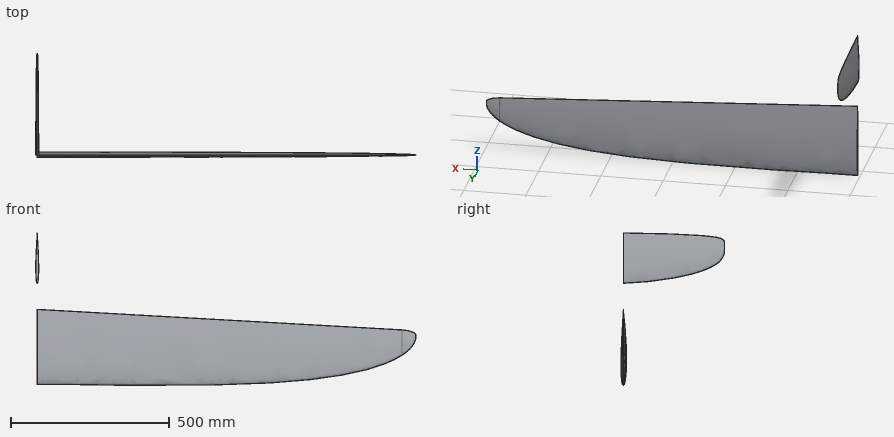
import cadquery as cq
import math

WING_SPAN = 1192.0
WING_SEAM = 1148.0
WING_TIP_Z = -82.0
WING_NOSE_DEPTH = 154.0
WING_NOSE_GROWTH = 12.0
WING_NOSE_POWER = 4.0
TRAILING_DROP = 65.0
WING_THICKNESS = 0.078
WING_CAMBER = 0.006

FIN_SPAN = 319.0
FIN_TIP_Z = 194.0
FIN_TRAILING_RISE = 47.0
FIN_NOSE_DEPTH = 112.0
FIN_NOSE_POWER = 1.5
FIN_NOSE_BLUNTNESS = 0.37
FIN_TRAILING_POWER = 1.4
FIN_TRAILING_BLUNTNESS = 0.16
FIN_THICKNESS = 0.063

TIP_END = 0.999
CROWDING = 1.3
PROFILE_STEPS = 12
MAIN_SECTIONS = 10
TIP_SECTIONS = 6
FIN_SECTIONS = 12


def half_thickness(along):
    """Four-digit aerofoil half thickness for unit thickness; along runs 0 (nose) to 1 (tail)."""
    return 5 * (0.2969 * math.sqrt(along) - 0.126 * along - 0.3516 * along**2
                + 0.2843 * along**3 - 0.1036 * along**4)


def aerofoil_side(nose, tail, thickness, camber, side):
    """Points (offset, height) from nose to tail on one side of the profile."""
    chord = tail - nose
    points = []
    for step in range(PROFILE_STEPS + 1):
        along = (1 - math.cos(math.pi * step / PROFILE_STEPS)) / 2
        mean_line = 4 * camber * along * (1 - along)
        offset = chord * (mean_line + side * thickness * half_thickness(along))
        points.append((offset, nose + chord * along))
    return points


def aerofoil_wire(place, nose, tail, thickness, camber):
    """Closed profile; place turns (offset, height) into a point in space."""
    sides = []
    for side in (1, -1):
        points = aerofoil_side(nose, tail, thickness, camber, side)
        sides.append(cq.Edge.makeSpline([place(*point) for point in points]))
    return cq.Wire.assembleEdges(sides)


def superellipse(ratio, power, bluntness=0.5):
    """Outline falling from 1 at the root to 0 at the tip; a lower bluntness exponent squares the tip."""
    return (1 - ratio**power) ** bluntness


def wing_nose(x):
    ratio = x / WING_SPAN
    depth = WING_NOSE_DEPTH + WING_NOSE_GROWTH * ratio
    return WING_TIP_Z - depth * superellipse(ratio, WING_NOSE_POWER)


def wing_tail(x):
    """Straight trailing edge, rounded over elliptically beyond the seam."""
    slope = TRAILING_DROP / WING_SEAM
    straight = -slope * x
    if x <= WING_SEAM:
        return straight
    ratio = (x - WING_SEAM) / (WING_SPAN - WING_SEAM)
    tip_drop = -slope * WING_SPAN - WING_TIP_Z
    return straight - tip_drop * (1 - superellipse(ratio, 2))


def wing_section(x):
    return aerofoil_wire(
        lambda offset, height: cq.Vector(x, offset, height),
        wing_nose(x), wing_tail(x), WING_THICKNESS, WING_CAMBER,
    )


def tipward_stations(start, end, count):
    """Stations from start to end, crowding gently towards end."""
    steps = [i / (count - 1) for i in range(count)]
    return [start + (end - start) * (1 - (1 - step) ** CROWDING) for step in steps]


def make_wing():
    main_stations = tipward_stations(0, WING_SEAM, MAIN_SECTIONS)
    tip_stations = tipward_stations(WING_SEAM, WING_SPAN * TIP_END, TIP_SECTIONS)
    main = cq.Solid.makeLoft([wing_section(x) for x in main_stations])
    tip = cq.Solid.makeLoft([wing_section(x) for x in tip_stations])
    return cq.Workplane(obj=main).union(cq.Workplane(obj=tip), clean=False)


def fin_section(y):
    ratio = y / FIN_SPAN
    nose = FIN_TIP_Z - FIN_NOSE_DEPTH * superellipse(ratio, FIN_NOSE_POWER, FIN_NOSE_BLUNTNESS)
    tail = FIN_TIP_Z + FIN_TRAILING_RISE * superellipse(ratio, FIN_TRAILING_POWER, FIN_TRAILING_BLUNTNESS)
    return aerofoil_wire(
        lambda offset, height: cq.Vector(offset, y, height),
        nose, tail, FIN_THICKNESS, 0,
    )


def make_fin():
    stations = tipward_stations(0, FIN_SPAN * TIP_END, FIN_SECTIONS)
    return cq.Workplane(obj=cq.Solid.makeLoft([fin_section(y) for y in stations]))


wing = make_wing()
fin = make_fin()

result = cq.Compound.makeCompound([*wing.vals(), fin.val()])